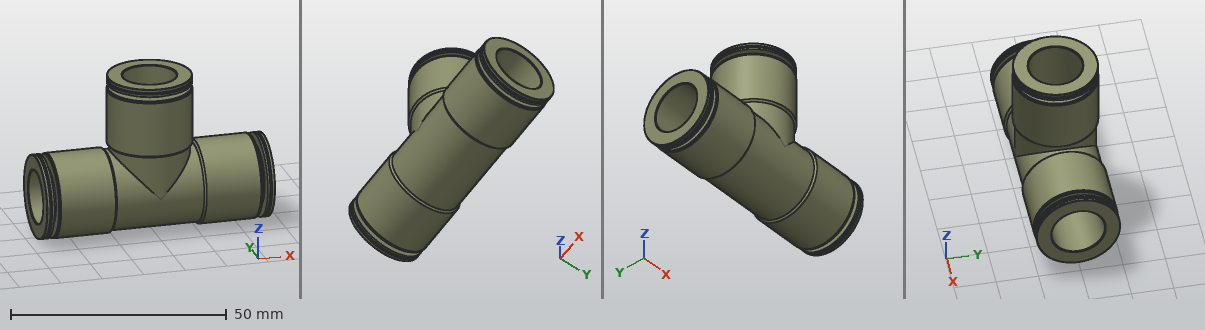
import cadquery as cq


port_reach = 27.5
collar_start = 10.5
collar_shoulder = 24.1
collar_end = 24.6
flange_inner_face = 25.7
groove_start = 26.25
groove_end = 26.75
groove_root = (groove_start + groove_end) / 2
stop_position = collar_start

body_diameter = 19.0
collar_diameter = 20.0
collar_rim_diameter = 19.8
neck_diameter = 14.6
flange_diameter = 19.8
groove_root_diameter = 19.4
tube_bore_diameter = 12.6
passage_diameter = 11.0

flange_chamfer = 0.1
collar_rim_chamfer = 0.15
neck_root_chamfer = 0.1
lead_in_chamfer = 0.2
stop_chamfer = 0.2

collar_step = (collar_diameter - body_diameter) / 2


def revolve_about_z(profile):
    """Revolve (radius, height) points, closed along the Z axis, into a solid."""
    return cq.Workplane("XZ").polyline(profile).close().revolve(360, (0, 0, 0), (0, 1, 0))


def cylinder_up(diameter, length):
    return cq.Workplane("XY").circle(diameter / 2).extrude(length)


def port_outside():
    """Bevelled collar with a stepped rim, neck and V-grooved release flange, along +Z."""
    body_radius = body_diameter / 2
    collar_radius = collar_diameter / 2
    rim_radius = collar_rim_diameter / 2
    neck_radius = neck_diameter / 2
    flange_radius = flange_diameter / 2
    groove_root_radius = groove_root_diameter / 2
    return revolve_about_z([
        (0, collar_start),
        (body_radius, collar_start),
        (collar_radius, collar_start + collar_step),
        (collar_radius, collar_shoulder),
        (rim_radius, collar_shoulder),
        (rim_radius, collar_end - collar_rim_chamfer),
        (rim_radius - collar_rim_chamfer, collar_end),
        (neck_radius, collar_end),
        (neck_radius, flange_inner_face - neck_root_chamfer),
        (neck_radius + neck_root_chamfer, flange_inner_face),
        (flange_radius, flange_inner_face),
        (flange_radius, groove_start),
        (groove_root_radius, groove_root),
        (flange_radius, groove_end),
        (flange_radius, port_reach - flange_chamfer),
        (flange_radius - flange_chamfer, port_reach),
        (0, port_reach),
    ])


def port_inside():
    """Flow passage, tube stop and tube bore with chamfered mouths, along +Z."""
    passage_radius = passage_diameter / 2
    bore_radius = tube_bore_diameter / 2
    return revolve_about_z([
        (0, 0),
        (passage_radius, 0),
        (passage_radius, stop_position - stop_chamfer),
        (passage_radius + stop_chamfer, stop_position),
        (bore_radius, stop_position),
        (bore_radius, port_reach - lead_in_chamfer),
        (bore_radius + lead_in_chamfer, port_reach),
        (0, port_reach),
    ])


def on_all_ports(feature):
    """Copy a feature lying along +Z onto the +Z, +X and -X ports."""
    ports = feature
    for angle in (90, -90):
        ports = ports.union(feature.rotate((0, 0, 0), (0, 1, 0), angle))
    return ports


body = on_all_ports(cylinder_up(body_diameter, collar_start))
outside = body.union(on_all_ports(port_outside()))
result = outside.cut(on_all_ports(port_inside()))